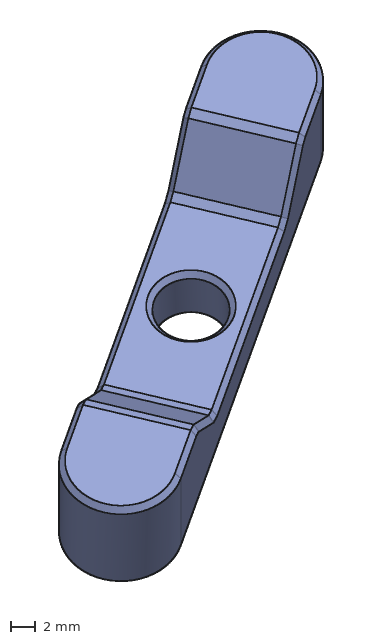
import cadquery as cq

length = 50.0
width = 10.0
height = 10.0

saddle_height = 5.0
saddle_floor_half = 10.0
saddle_top_half = saddle_floor_half + height - saddle_height

hole_diameter = 6.2

edge_chamfer = 0.5

position_tolerance = 0.005


def rounded_bar():
    """Full-height bar along Y with semicircular ends."""
    return cq.Workplane("XY").slot2D(length, width, 90).extrude(height)


def saddle_profile():
    """Side profile extruded across X, with the bends of the ramps bevelled."""
    half = length / 2
    profile = (
        cq.Workplane("YZ")
        .moveTo(-half, 0)
        .lineTo(half, 0)
        .lineTo(half, height)
        .lineTo(saddle_top_half, height)
        .lineTo(saddle_floor_half, saddle_height)
        .lineTo(-saddle_floor_half, saddle_height)
        .lineTo(-saddle_top_half, height)
        .lineTo(-half, height)
        .close()
        .extrude(width / 2, both=True)
    )
    bend_y = (saddle_floor_half, saddle_top_half)
    bends = profile.edges("|X").filter(
        lambda edge: any(abs(abs(edge.Center().y) - y) < position_tolerance for y in bend_y)
    )
    return bends.chamfer(edge_chamfer)


def central_hole(body):
    """Through hole in the saddle floor with a bevelled upper rim."""
    hole_radius = hole_diameter / 2
    rim_radius = hole_radius + edge_chamfer
    hole = cq.Workplane("XY").circle(hole_radius).extrude(height)
    rim = cq.Workplane(
        cq.Solid.makeCone(
            hole_radius,
            rim_radius,
            edge_chamfer,
            pnt=cq.Vector(0, 0, saddle_height - edge_chamfer),
        )
    )
    return body.cut(hole).cut(rim)


body = rounded_bar().intersect(saddle_profile())
outline_edges = body.edges("not (|X or |Z)")
body = outline_edges.chamfer(edge_chamfer)
result = central_hole(body)